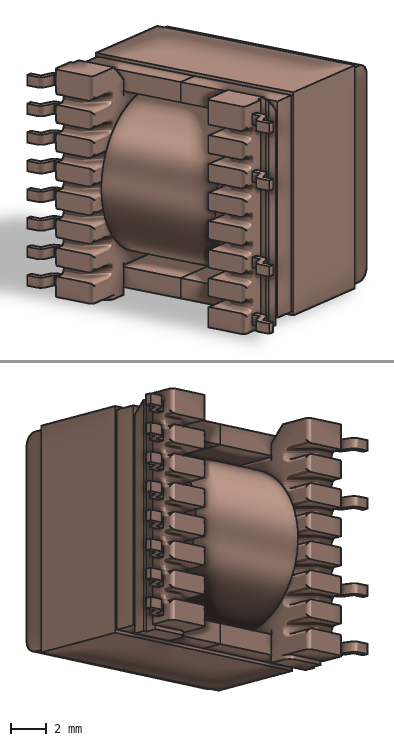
import cadquery as cq
import math


CORE_LENGTH = 13.14
CORE_DEPTH = 9.0
CORE_HEIGHT = 12.75
CORE_BACK_RADIUS = 0.77
CORE_FRONT = -CORE_DEPTH / 2
COIL_AXIS_Y = -1.99
CAVITY_RADIUS = 5.17
POST_RADIUS = 2.13

TAPE_WIDTH = 6.2
TAPE_END_THICKNESS = 0.13
TAPE_SIDE_THICKNESS = 0.2

WINDING_RADIUS = 4.76
WINDING_LENGTH = 7.72
TUBE_WALL = 0.33
TUBE_RADIUS = POST_RADIUS + TUBE_WALL
FLANGE_THICKNESS = 0.33
FLANGE_RIM_RADIUS = 0.25
FLANGE_INNER_X = WINDING_LENGTH / 2
CAVITY_HALF_LENGTH = FLANGE_INNER_X + FLANGE_THICKNESS

BLOCK_INNER_X = FLANGE_INNER_X
BLOCK_OUTER_X = 6.45
BLOCK_FRONT = -7.64
BLOCK_HEIGHT = 13.65
BLOCK_TOP = BLOCK_HEIGHT / 2
BLOCK_TOP_CHAMFER = 0.97
BLOCK_EDGE_RADIUS = 0.25
GROOVE_DEPTH = 0.2
GROOVE_BACK = -5.22
GROOVE_FRONT = -6.0
STEP_DROP = 0.25
STEP_CORNER_RADIUS = 0.51

PIN_COUNT = 8
PIN_SPAN = 11.79
PIN_PITCH = PIN_SPAN / (PIN_COUNT - 1)
PIN_WIDTH = 0.6
PIN_THICKNESS = 0.4
PIN_END_X = 8.21
PIN_STANDOFF = 0.13
PIN_RISE = 0.5
PIN_LEG_ANGLE = math.radians(72)
FOOT_LENGTH = 0.67
LEFT_PINS = range(PIN_COUNT)
RIGHT_PINS = (0, 2, 5, 7)

SLOT_WIDTH = 0.62
SLOT_DEPTH = 0.77
SLOT_CORNER_RADIUS = 0.25
SLOT_BEND_START_X = 5.42
SLOT_BEND_RADIUS = 0.55


def box(x0, x1, y0, y1, z0, z1):
    """Box between two opposite corners."""
    return cq.Workplane("XY").box(x1 - x0, y1 - y0, z1 - z0, centered=False).translate((x0, y0, z0))


def x_cylinder(radius, x0, x1):
    """Cylinder on the coil axis."""
    return cq.Workplane("YZ", origin=(x0, COIL_AXIS_Y, 0)).circle(radius).extrude(x1 - x0)


def cavity_shape(x0, x1):
    """Round-backed channel that opens through the front of the core."""
    channel = box(x0, x1, CORE_FRONT, COIL_AXIS_Y, -CAVITY_RADIUS, CAVITY_RADIUS)
    return x_cylinder(CAVITY_RADIUS, x0, x1).union(channel)


def mirrored(shape):
    return shape.mirror("YZ")


def make_right_core():
    half_height = CORE_HEIGHT / 2
    end_x = CORE_LENGTH / 2
    body = box(0, end_x, CORE_FRONT, -CORE_FRONT, -half_height, half_height)
    body = body.edges("|X and >Y").fillet(CORE_BACK_RADIUS)
    body = body.cut(cavity_shape(0, CAVITY_HALF_LENGTH))
    return body.union(x_cylinder(POST_RADIUS, 0, CAVITY_HALF_LENGTH))


def make_tape():
    outer_length = CORE_LENGTH + 2 * TAPE_END_THICKNESS
    outer_height = CORE_HEIGHT + 2 * TAPE_SIDE_THICKNESS
    outer = cq.Workplane("XY").box(outer_length, TAPE_WIDTH, outer_height)
    return outer.cut(cq.Workplane("XY").box(CORE_LENGTH, TAPE_WIDTH, CORE_HEIGHT))


def make_winding():
    winding = x_cylinder(WINDING_RADIUS, -FLANGE_INNER_X, FLANGE_INNER_X)
    return winding.cut(x_cylinder(TUBE_RADIUS, -FLANGE_INNER_X, FLANGE_INNER_X))


def make_slot_tool():
    """Wire slot at Z = 0, cut right through a block along X, with rounded floor corners."""
    floor_y = BLOCK_FRONT + SLOT_DEPTH
    clear_y = BLOCK_FRONT - SLOT_DEPTH
    clear_x = BLOCK_INNER_X - SLOT_DEPTH
    half_angle = math.radians(22.5)
    slope = math.radians(45)
    bend_mid = (
        SLOT_BEND_START_X - SLOT_BEND_RADIUS * math.sin(half_angle),
        floor_y + SLOT_BEND_RADIUS * (1 - math.cos(half_angle)),
    )
    bend_end_x = SLOT_BEND_START_X - SLOT_BEND_RADIUS * math.sin(slope)
    bend_end_y = floor_y + SLOT_BEND_RADIUS * (1 - math.cos(slope))
    tool = (
        cq.Workplane("XY", origin=(0, 0, -SLOT_WIDTH / 2))
        .moveTo(BLOCK_OUTER_X + SLOT_DEPTH, clear_y)
        .lineTo(BLOCK_OUTER_X + SLOT_DEPTH, floor_y)
        .lineTo(SLOT_BEND_START_X, floor_y)
        .threePointArc(bend_mid, (bend_end_x, bend_end_y))
        .lineTo(clear_x, bend_end_y + bend_end_x - clear_x)
        .lineTo(clear_x, clear_y)
        .close()
        .extrude(SLOT_WIDTH)
    )
    floor_edges = cq.selectors.BoxSelector(
        (clear_x + SLOT_CORNER_RADIUS, floor_y - SLOT_CORNER_RADIUS, -SLOT_WIDTH),
        (BLOCK_OUTER_X + SLOT_CORNER_RADIUS, CORE_FRONT, SLOT_WIDTH),
    )
    return tool.edges(floor_edges).edges("not |Z").fillet(SLOT_CORNER_RADIUS)


def make_right_block():
    body = box(BLOCK_INNER_X, BLOCK_OUTER_X, BLOCK_FRONT, CORE_FRONT, -BLOCK_TOP, BLOCK_TOP)
    body = body.edges("|X and >Y and >Z").chamfer(BLOCK_TOP_CHAMFER)

    front_bottom = STEP_DROP - BLOCK_TOP
    lower_front = box(0, CORE_LENGTH, BLOCK_FRONT, GROOVE_FRONT, -BLOCK_TOP, front_bottom)
    body = body.cut(lower_front)
    step_corner = cq.selectors.BoxSelector(
        (BLOCK_INNER_X - 0.16, GROOVE_FRONT - 0.16, -BLOCK_TOP),
        (BLOCK_INNER_X + 0.16, GROOVE_FRONT + 0.16, front_bottom),
    )
    body = body.edges("|Z").edges(step_corner).fillet(STEP_CORNER_RADIUS)

    slot = make_slot_tool()
    for i in range(PIN_COUNT - 1):
        slot_z = (i + 0.5) * PIN_PITCH - PIN_SPAN / 2
        body = body.cut(slot.translate((0, 0, slot_z)))
    margin = BLOCK_EDGE_RADIUS / 2
    for face_x in (BLOCK_INNER_X, BLOCK_OUTER_X):
        mouth_edges = cq.selectors.BoxSelector(
            (face_x - 0.002, BLOCK_FRONT - margin, front_bottom + margin),
            (face_x + 0.002, GROOVE_BACK, BLOCK_TOP - margin),
        )
        body = body.edges(mouth_edges).fillet(BLOCK_EDGE_RADIUS)

    groove_floor_x = BLOCK_OUTER_X - GROOVE_DEPTH
    groove = box(groove_floor_x, BLOCK_OUTER_X, GROOVE_FRONT, GROOVE_BACK, -BLOCK_TOP, BLOCK_TOP)
    return body.cut(groove)


def make_right_pin(z):
    """Gull-wing pin of constant thickness, sharp inside its two bends and round outside them."""
    foot_front = BLOCK_FRONT - PIN_STANDOFF
    foot_back = foot_front + PIN_THICKNESS
    lead_front = foot_back + PIN_RISE
    lead_back = lead_front + PIN_THICKNESS
    root_x = BLOCK_OUTER_X - GROOVE_DEPTH
    foot_bend_x = PIN_END_X - FOOT_LENGTH
    leg_run = (PIN_THICKNESS + PIN_RISE * math.cos(PIN_LEG_ANGLE)) / math.sin(PIN_LEG_ANGLE)
    lead_bend_x = foot_bend_x - leg_run

    def on_bend(angle):
        return PIN_THICKNESS * math.sin(angle), PIN_THICKNESS * math.cos(angle)

    mid_x, mid_y = on_bend(PIN_LEG_ANGLE / 2)
    end_x, end_y = on_bend(PIN_LEG_ANGLE)
    return (
        cq.Workplane("XY", origin=(0, 0, z - PIN_WIDTH / 2))
        .moveTo(root_x, lead_back)
        .lineTo(lead_bend_x, lead_back)
        .threePointArc(
            (lead_bend_x + mid_x, lead_front + mid_y),
            (lead_bend_x + end_x, lead_front + end_y),
        )
        .lineTo(foot_bend_x, foot_back)
        .lineTo(PIN_END_X, foot_back)
        .lineTo(PIN_END_X, foot_front)
        .lineTo(foot_bend_x, foot_front)
        .threePointArc(
            (foot_bend_x - mid_x, foot_back - mid_y),
            (foot_bend_x - end_x, foot_back - end_y),
        )
        .lineTo(lead_bend_x, lead_front)
        .lineTo(root_x, lead_front)
        .close()
        .extrude(PIN_WIDTH)
    )


def make_bobbin():
    """Tube and flanges inside the core, joined to the two terminal blocks and their pins."""
    right_block = make_right_block()
    inside_core = cq.Workplane("XY").box(CORE_LENGTH, CORE_DEPTH, CORE_HEIGHT)
    right_flange = cavity_shape(FLANGE_INNER_X, CAVITY_HALF_LENGTH).intersect(inside_core)
    rim = right_flange.faces("<X").edges("not (|Z and <Y)")
    right_flange = rim.fillet(FLANGE_RIM_RADIUS)
    bobbin = x_cylinder(TUBE_RADIUS, -CAVITY_HALF_LENGTH, CAVITY_HALF_LENGTH)
    for part in (right_flange, right_block):
        bobbin = bobbin.union(part).union(mirrored(part))
    bobbin = bobbin.cut(x_cylinder(POST_RADIUS, -CAVITY_HALF_LENGTH, CAVITY_HALF_LENGTH))
    for i in range(PIN_COUNT):
        pin = make_right_pin(i * PIN_PITCH - PIN_SPAN / 2)
        if i in LEFT_PINS:
            bobbin = bobbin.union(mirrored(pin))
        if i in RIGHT_PINS:
            bobbin = bobbin.union(pin)
    return bobbin


right_core = make_right_core()
left_core = mirrored(right_core)
tape = make_tape()
winding = make_winding()
bobbin = make_bobbin()

result = cq.Compound.makeCompound(
    [left_core.val(), right_core.val(), tape.val(), winding.val(), bobbin.val()]
)